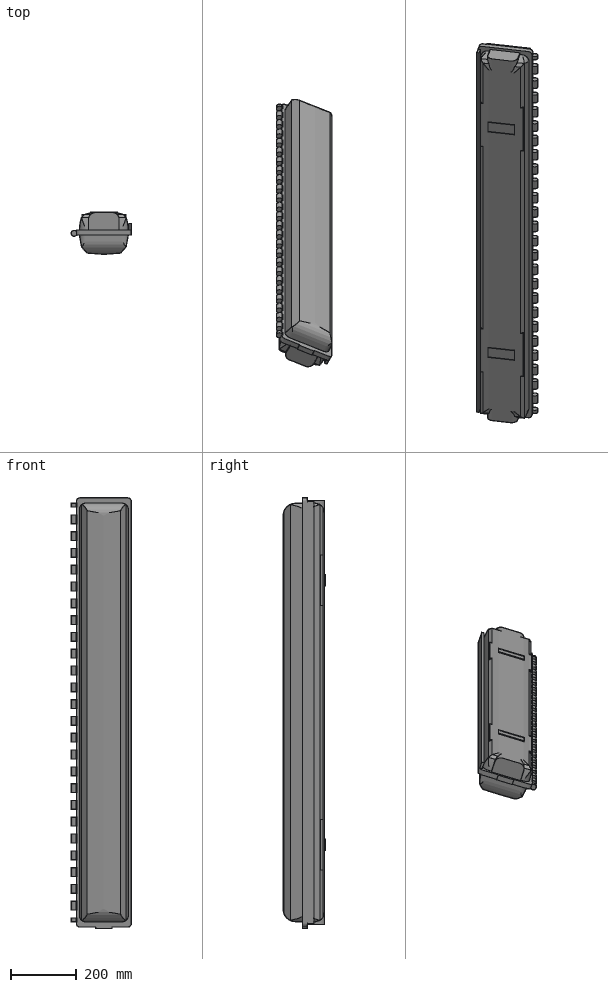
import cadquery as cq
import math

LENGTH = 1308.0
WIDTH = 183.0
DEPTH = 130.0

HINGE_REACH = 16.0
TAB_DROP = 4.0
TAB_WIDTH = 50.0
FLANGE_FRONT = 59.0
FLANGE_BACK = 75.0
FLANGE_RADIUS = 12.0
MID_X = (HINGE_REACH + WIDTH) / 2
MID_Z = (TAB_DROP + LENGTH) / 2
FLANGE_WIDTH = WIDTH - HINGE_REACH
FLANGE_LENGTH = LENGTH - TAB_DROP

LIP_THICKNESS = 8.0
LIP_BACK = 94.0

LID_HALF_WIDTH = 75.0
LID_SHOULDER_HALF_WIDTH = 68.0
LID_SHOULDER_Y = 24.0
LID_ROOF_HALF_WIDTH = 51.0
LID_ROOF_Y = 4.0
LID_LENGTH = 1271.0
LID_CORNER_RADIUS = 20.0
LID_END_RADIUS = 39.0
LID_END_FACETS = 6

BASE_HALF_WIDTH = 75.0
BASE_LENGTH = 1276.0
BASE_CORNER_RADIUS = 22.0
BASE_BACK = 127.0
BASE_BEVEL_Y = 112.0
BASE_RIM_Y = 122.0
BASE_TAPER = 7.0
BASE_BOW = 1.0
BASE_BEVEL_WIDTH = 9.0
BASE_RIM_WIDTH = 20.0

SPINE_WIDTH = 93.0
SPINE_LENGTH = 1288.0
SPINE_RADIUS = 20.0

FOOT_SPACING = 803.0
FOOT_LENGTH = 153.0
FOOT_WIDTH = 133.0
FOOT_BACK = 122.0
PAD_LENGTH = 34.0
PAD_WIDTH = 82.0

KNUCKLE_COUNT = 24
KNUCKLE_PITCH = 51.0
KNUCKLE_LENGTH = 27.0
END_KNUCKLE_LENGTH = 12.0
KNUCKLE_RADIUS = 9.0
KNUCKLE_Y = 64.0
HINGE_WEB = 13.0
WEB_OVERLAP = 3.0


def block(width, length, y_front, y_back, x=MID_X, z=MID_Z):
    """Box centred on x and z that fills y_front to y_back."""
    depth = y_back - y_front
    return cq.Workplane("XY").box(width, depth, length).translate((x, y_front + depth / 2, z))


def rounded_block(width, length, y_front, y_back, radius):
    """Centred block with its four corners rounded in plan."""
    return block(width, length, y_front, y_back).edges("|Y").fillet(radius)


def make_flange():
    plate = rounded_block(FLANGE_WIDTH, FLANGE_LENGTH, FLANGE_FRONT, FLANGE_BACK, FLANGE_RADIUS)
    tab_height = 2 * TAB_DROP
    tab = block(TAB_WIDTH, tab_height, FLANGE_FRONT, FLANGE_BACK, z=tab_height / 2)
    lip_length = FLANGE_LENGTH - 2 * FLANGE_RADIUS
    lip = block(LIP_THICKNESS, lip_length, FLANGE_FRONT, LIP_BACK, x=WIDTH - LIP_THICKNESS / 2)
    return plate.union(tab).union(lip)


def make_lid():
    plan = rounded_block(2 * LID_HALF_WIDTH, LID_LENGTH, 0, FLANGE_BACK, LID_CORNER_RADIUS)
    half_section = [
        (LID_HALF_WIDTH, FLANGE_FRONT),
        (LID_SHOULDER_HALF_WIDTH, LID_SHOULDER_Y),
        (LID_ROOF_HALF_WIDTH, LID_ROOF_Y),
    ]
    section = half_section + [(0, 0)] + [(-x, y) for x, y in reversed(half_section)]
    across = cq.Workplane("XY").polyline(section).close().extrude(LENGTH).translate((MID_X, 0, 0))

    end_centre = LID_LENGTH / 2 - LID_END_RADIUS
    half_end = [(FLANGE_FRONT, LID_LENGTH / 2)]
    for i in range(LID_END_FACETS + 1):
        angle = math.radians(90 * i / LID_END_FACETS)
        y = LID_END_RADIUS * (1 - math.sin(angle))
        half_end.append((y, end_centre + LID_END_RADIUS * math.cos(angle)))
    side = half_end + [(y, -z) for y, z in reversed(half_end)]
    along = cq.Workplane("YZ").polyline(side).close().extrude(WIDTH).translate((0, 0, MID_Z))
    return plan.intersect(across).intersect(along)


def base_outline(plane, half_size):
    """Closed outline with bowed flanks; the first axis is the half size, the second is Y."""
    bevel_start = half_size - BASE_TAPER
    rim_start = bevel_start - BASE_BEVEL_WIDTH
    back = rim_start - BASE_RIM_WIDTH
    bow_point = (half_size - BASE_TAPER / 2 + BASE_BOW, (FLANGE_BACK + BASE_BEVEL_Y) / 2)
    return (
        plane.moveTo(half_size, FLANGE_BACK)
        .threePointArc(bow_point, (bevel_start, BASE_BEVEL_Y))
        .lineTo(rim_start, BASE_RIM_Y)
        .lineTo(back, BASE_BACK)
        .lineTo(-back, BASE_BACK)
        .lineTo(-rim_start, BASE_RIM_Y)
        .lineTo(-bevel_start, BASE_BEVEL_Y)
        .threePointArc((-bow_point[0], bow_point[1]), (-half_size, FLANGE_BACK))
        .close()
    )


def make_base():
    plan = rounded_block(2 * BASE_HALF_WIDTH, BASE_LENGTH, FLANGE_FRONT, BASE_BACK, BASE_CORNER_RADIUS)
    across = base_outline(cq.Workplane("XY"), BASE_HALF_WIDTH).extrude(LENGTH).translate((MID_X, 0, 0))
    side_plane = cq.Workplane(cq.Plane((WIDTH, 0, MID_Z), xDir=(0, 0, 1), normal=(-1, 0, 0)))
    along = base_outline(side_plane, BASE_LENGTH / 2).extrude(WIDTH)
    spine = block(SPINE_WIDTH, SPINE_LENGTH, FLANGE_FRONT, BASE_BACK)
    spine = spine.edges("|Z and >Y").fillet(SPINE_RADIUS)
    return plan.intersect(across).intersect(along).union(spine)


def make_foot(z):
    foot = block(FOOT_WIDTH, FOOT_LENGTH, FLANGE_BACK, FOOT_BACK, z=z)
    pad = block(PAD_WIDTH, PAD_LENGTH, FLANGE_BACK, DEPTH, z=z)
    return foot.union(pad)


def make_knuckle(z, length):
    """Barrel of the hinge, joined to the flange edge by a flat web."""
    barrel = cq.Workplane("XY").center(KNUCKLE_RADIUS, KNUCKLE_Y).circle(KNUCKLE_RADIUS).extrude(length)
    web_front = KNUCKLE_Y - HINGE_WEB / 2
    web_width = HINGE_REACH + WEB_OVERLAP - KNUCKLE_RADIUS
    web = block(web_width, length, web_front, web_front + HINGE_WEB, x=KNUCKLE_RADIUS + web_width / 2, z=z)
    return barrel.translate((0, 0, z - length / 2)).union(web)


result = make_flange().union(make_lid()).union(make_base())

for side in (-1, 1):
    result = result.union(make_foot(MID_Z + side * FOOT_SPACING / 2))

for i in range(KNUCKLE_COUNT):
    offset = (i - (KNUCKLE_COUNT - 1) / 2) * KNUCKLE_PITCH
    result = result.union(make_knuckle(MID_Z + offset, KNUCKLE_LENGTH))

end_offset = (KNUCKLE_COUNT + 1) / 2 * KNUCKLE_PITCH - KNUCKLE_LENGTH / 2 + END_KNUCKLE_LENGTH / 2
for side in (-1, 1):
    result = result.union(make_knuckle(MID_Z + side * end_offset, END_KNUCKLE_LENGTH))